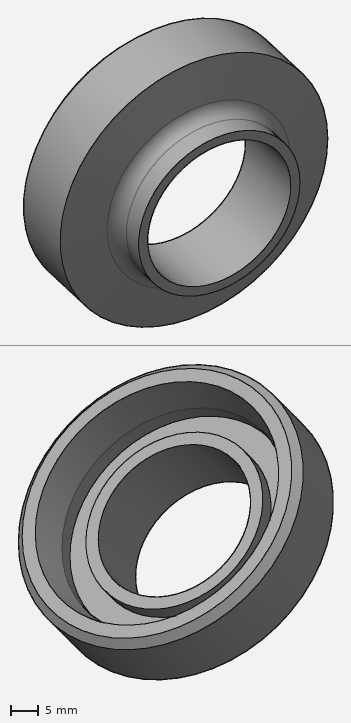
import cadquery as cq
import math


flange_radius = 29.0
flange_length = 14.0
front_chamfer = 1.55
hub_radius = 35.0 / 2
total_length = 22.5
back_slope = math.radians(10)
hub_fillet = 2.9

bore_radius = 31.0 / 2
collar_radius = 36.0 / 2
recess_mouth_radius = 24.75
recess_radius = 45.8 / 2
collar_face_x = 7.15
groove_floor_x = 10.5

corner_x = flange_length + (flange_radius - hub_radius) * math.tan(back_slope)

fillet_x = corner_x + hub_fillet * math.tan(math.pi / 4 - back_slope / 2)
fillet_center_radius = hub_radius + hub_fillet


def fillet_point(angle):
    """Point on the fillet arc, with the angle measured from the hub tangency toward the flange."""
    return (
        fillet_x - hub_fillet * math.sin(angle),
        fillet_center_radius - hub_fillet * math.cos(angle),
    )


fillet_sweep = math.pi / 2 - back_slope

section = (
    cq.Workplane("XY")
    .moveTo(0, recess_mouth_radius)
    .lineTo(0, flange_radius - front_chamfer)
    .lineTo(front_chamfer, flange_radius)
    .lineTo(flange_length, flange_radius)
    .lineTo(*fillet_point(fillet_sweep))
    .threePointArc(fillet_point(fillet_sweep / 2), fillet_point(0))
    .lineTo(total_length, hub_radius)
    .lineTo(total_length, bore_radius)
    .lineTo(collar_face_x, bore_radius)
    .lineTo(collar_face_x, collar_radius)
    .lineTo(groove_floor_x, collar_radius)
    .lineTo(groove_floor_x, recess_radius)
    .lineTo(collar_face_x, recess_radius)
    .close()
)

result = section.revolve(360, (0, 0, 0), (1, 0, 0))